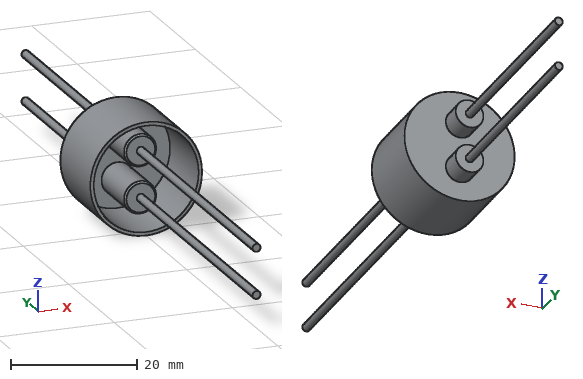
import cadquery as cq

shell_diameter = 18.97
shell_wall = 0.6
shell_length = 13.2
floor_thickness = 0.6
mouth_y = -2.3
back_y = mouth_y + shell_length
floor_y = back_y - floor_thickness

insulator_diameter = 5.45
insulator_edge_chamfer = 0.3
insulator_recess = 2.4
insulator_front_y = mouth_y + insulator_recess
insulator_tail_diameter = 4.76
insulator_tail_length = 4.0
insulator_tail_y = back_y + insulator_tail_length

wire_diameter = 1.35
wire_length = 101.6
wire_spacing = 7.87


def rod(diameter, start_y, end_y, centre_z=0):
    """Round bar parallel to Y between two Y positions."""
    plane = cq.Plane(origin=(0, start_y, centre_z), xDir=(1, 0, 0), normal=(0, 1, 0))
    return cq.Workplane(plane).circle(diameter / 2).extrude(end_y - start_y)


def make_shell():
    """Thin round cup with a closed floor at its +Y end."""
    outside = rod(shell_diameter, mouth_y, back_y)
    cavity = rod(shell_diameter - 2 * shell_wall, mouth_y, floor_y)
    return outside.cut(cavity)


def make_lead(centre_z):
    """One stepped insulator with its wire on a shared axis."""
    insulator = rod(insulator_diameter, insulator_front_y, back_y, centre_z)
    insulator = insulator.faces("<Y").edges().chamfer(insulator_edge_chamfer)
    tail = rod(insulator_tail_diameter, back_y, insulator_tail_y, centre_z)
    wire = rod(wire_diameter, -wire_length / 2, wire_length / 2, centre_z)
    return insulator.union(tail).union(wire)


result = make_shell()
for side in (-1, 1):
    result = result.union(make_lead(side * wire_spacing / 2))